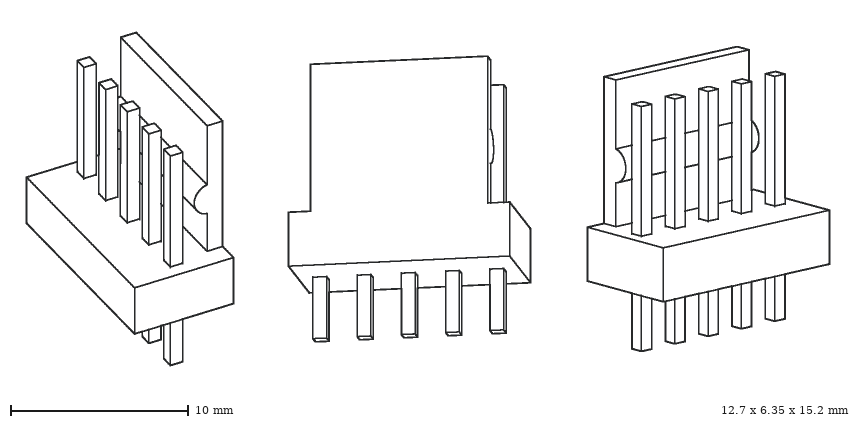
import cadquery as cq

base_length = 12.7
base_depth = 6.35
base_height = 3.14

pin_count = 5
pin_pitch = base_length / pin_count
pin_width = 0.8
pin_height = 14.25
pin_tail = 3.57

overall_height = 15.24
wall_length = base_length - pin_pitch
wall_thickness = 1.0
wall_front = base_depth / 2 - wall_thickness

rib_radius = 1.0
rib_projection = 0.82
rib_axis_height = 10.24

base_top = pin_tail + base_height
pin_positions = [(i - (pin_count - 1) / 2) * pin_pitch for i in range(pin_count)]


def block(length, depth, bottom, top, x=0, y=0):
    """Upright box centred at (x, y), between two heights."""
    return (
        cq.Workplane("XY", origin=(x, y, bottom))
        .rect(length, depth)
        .extrude(top - bottom)
    )


def locking_rib():
    """Cylinder along X whose front segment stands out of the wall."""
    axis_y = wall_front - rib_projection + rib_radius
    cylinder = (
        cq.Workplane("YZ", origin=(-wall_length / 2, axis_y, rib_axis_height))
        .circle(rib_radius)
        .extrude(wall_length)
    )
    rear_cut = block(
        wall_length,
        2 * rib_radius,
        rib_axis_height - rib_radius,
        rib_axis_height + rib_radius,
        y=base_depth / 2 + rib_radius,
    )
    return cylinder.cut(rear_cut)


def make_pin(x):
    return block(pin_width, pin_width, 0, pin_height, x=x)


def make_housing():
    """Base, wall and rib as one solid, with a through hole for each pin."""
    base = block(base_length, base_depth, pin_tail, base_top)
    wall_y = wall_front + wall_thickness / 2
    wall = block(wall_length, wall_thickness, base_top, overall_height, y=wall_y)
    body = base.union(wall).union(locking_rib())
    for x in pin_positions:
        body = body.cut(make_pin(x))
    return body.solids()


housing = make_housing()
pins = [make_pin(x) for x in pin_positions]

result = cq.Compound.makeCompound([housing.val(), *[pin.val() for pin in pins]])